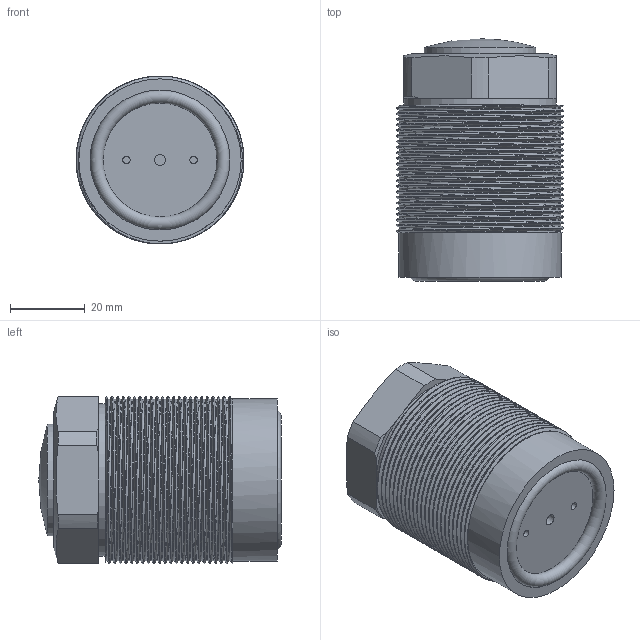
import cadquery as cq
import math


nose_length = 12.0
thread_length = 34.2
collar_length = 1.8
hex_length = 12.0
thread_end = nose_length + thread_length
hex_start = thread_end + collar_length
hex_end = hex_start + hex_length

nose_diameter = 43.5
thread_diameter = 45.0

hex_sides = 6
hex_across_flats = 41.0
collar_diameter = hex_across_flats
hex_corner_diameter = thread_diameter
hex_chamfer_angle = 15.0
hex_face_radius = 18.2

pitch = 1.5
thread_depth = 0.8
flank_angle = 30.0
flank_slope = math.tan(math.radians(flank_angle))
crest_flat = pitch / 8
ridge_start = nose_length - 1.8
ridge_turns = 25
runout_end = hex_start - 0.05
runout_end_angle = 240.0
runout_turns = 1
overlap = 0.1
trim_margin = 1.0

ring_outer_diameter = 37.5
ring_section_radius = 1.75
ring_protrusion = 1.0
ring_center_radius = ring_outer_diameter / 2 - ring_section_radius
ring_center_y = ring_section_radius - ring_protrusion
recess_depth = 2 * ring_section_radius - ring_protrusion

center_hole_diameter = 3.0
side_hole_diameter = 2.0
side_hole_offset = 9.0
hole_depth = 5.0

button_radius = 15.0
button_rim_height = 1.7
button_dome_height = 2.3


def at_y(y):
    """Workplane at height y whose normal is +Y and whose local axes are X and -Z."""
    return cq.Workplane("XZ", origin=(0, y, 0)).transformed(rotate=(180, 0, 0))


def cylinder(diameter, start, end):
    return at_y(start).circle(diameter / 2).extrude(end - start)


def revolve_about_y(profile):
    return profile.revolve(360, (0, 0, 0), (0, 1, 0))


def make_hex_head():
    """Hexagon with two flats facing +X and -X, corners turned down and end face chamfered."""
    hexagon = (
        at_y(hex_start)
        .polygon(hex_sides, hex_across_flats, circumscribed=True)
        .extrude(hex_length)
    )
    corner_radius = hex_corner_diameter / 2
    chamfer_height = (corner_radius - hex_face_radius) * math.tan(math.radians(hex_chamfer_angle))
    envelope = revolve_about_y(
        cq.Workplane("XY")
        .moveTo(0, hex_start)
        .lineTo(corner_radius, hex_start)
        .lineTo(corner_radius, hex_end - chamfer_height)
        .lineTo(hex_face_radius, hex_end)
        .lineTo(0, hex_end)
        .close()
    )
    return hexagon.intersect(envelope)


def sweep_helix(inner_radius, inner_width, outer_radius, outer_width, turns):
    """Right-handed helical bar of trapezoid section, rising along +Y from the +X side of Y = 0."""
    helix = cq.Wire.makeHelix(pitch, pitch * turns, outer_radius)
    bar = (
        cq.Workplane("XZ")
        .moveTo(inner_radius, -inner_width / 2)
        .lineTo(outer_radius, -outer_width / 2)
        .lineTo(outer_radius, outer_width / 2)
        .lineTo(inner_radius, inner_width / 2)
        .close()
        .sweep(cq.Workplane(helix), isFrenet=True)
    )
    return bar.rotate((0, 0, 0), (1, 0, 0), -90)


def make_thread():
    """Threaded length: a core with a helical ridge that is cut off square at both ends."""
    crest_radius = thread_diameter / 2
    core_radius = crest_radius - thread_depth
    ridge_base = crest_flat + 2 * (thread_depth + overlap) * flank_slope
    ridge = sweep_helix(core_radius - overlap, ridge_base, crest_radius, crest_flat, ridge_turns)
    ridge = ridge.translate((0, ridge_start, 0))
    ridge = ridge.intersect(cylinder(thread_diameter + 2 * trim_margin, nose_length, thread_end))
    return cylinder(2 * core_radius, nose_length, thread_end).union(ridge)


def make_runout():
    """Last turn of the thread groove, which nicks the corners of the hexagon facing -X."""
    crest_radius = thread_diameter / 2
    root_radius = crest_radius - thread_depth
    crest_width = pitch - crest_flat
    root_width = crest_width - 2 * thread_depth * flank_slope
    outer_width = crest_width + 2 * overlap * flank_slope
    groove = sweep_helix(root_radius, root_width, crest_radius + overlap, outer_width, runout_turns)
    groove = groove.rotate((0, 0, 0), (0, 1, 0), runout_end_angle)
    return groove.translate((0, runout_end - runout_turns * pitch, 0))


def make_housing():
    nose = cylinder(nose_diameter, 0, nose_length)
    collar = cylinder(collar_diameter, thread_end, hex_start)
    head = make_hex_head().cut(make_runout())
    housing = nose.union(make_thread()).union(collar).union(head)

    housing = housing.cut(cylinder(ring_outer_diameter, 0, recess_depth))
    holes = (
        at_y(recess_depth)
        .circle(center_hole_diameter / 2)
        .pushPoints([(-side_hole_offset, 0), (side_hole_offset, 0)])
        .circle(side_hole_diameter / 2)
        .extrude(hole_depth)
    )
    return housing.cut(holes)


def make_seal_ring():
    return revolve_about_y(
        cq.Workplane("XY").moveTo(ring_center_radius, ring_center_y).circle(ring_section_radius)
    )


def make_button():
    """Low round button resting on the hexagon's end face, with a spherical top."""
    rim_end = hex_end + button_rim_height
    top = rim_end + button_dome_height
    sphere_radius = (button_radius**2 + button_dome_height**2) / (2 * button_dome_height)
    return revolve_about_y(
        cq.Workplane("XY")
        .moveTo(0, hex_end)
        .lineTo(button_radius, hex_end)
        .lineTo(button_radius, rim_end)
        .radiusArc((0, top), -sphere_radius)
        .close()
    )


housing = make_housing()
seal_ring = make_seal_ring()
button = make_button()

result = cq.Compound.makeCompound([housing.solids().val(), seal_ring.val(), button.val()])